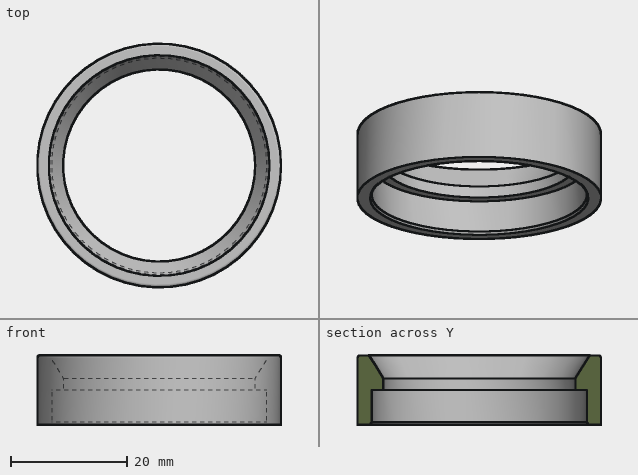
import cadquery as cq

outer_diameter = 42
height = 12.0
throat_diameter = 33.0
recess_diameter = 37.0
mouth_diameter = 38.0
cone_depth = 4.0
throat_length = 2.0
rim_fillet = 0.5
recess_chamfer_height = 0.5
recess_chamfer_width = 0.3

outer_radius = outer_diameter / 2
throat_radius = throat_diameter / 2
recess_radius = recess_diameter / 2
mouth_radius = mouth_diameter / 2
throat_top = height - cone_depth
recess_depth = throat_top - throat_length

section = (
    cq.Workplane("XZ")
    .moveTo(outer_radius, 0)
    .lineTo(outer_radius, height)
    .lineTo(mouth_radius, height)
    .lineTo(throat_radius, throat_top)
    .lineTo(throat_radius, recess_depth)
    .lineTo(recess_radius, recess_depth)
    .lineTo(recess_radius, recess_chamfer_height)
    .lineTo(recess_radius + recess_chamfer_width, 0)
    .close()
)

ring = section.revolve(360, (0, 0, 0), (0, 1, 0))

top_outer_edge = cq.selectors.RadiusNthSelector(-1)
result = ring.faces(">Z").edges(top_outer_edge).fillet(rim_fillet)